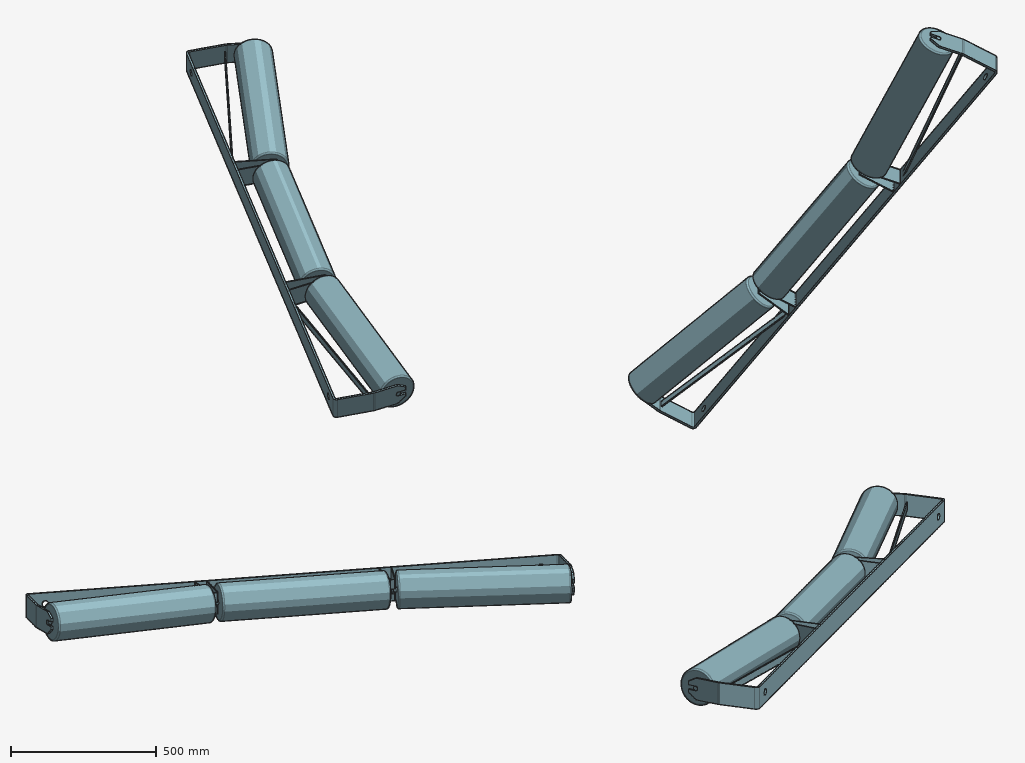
import cadquery as cq
import math

length = 1910.0
strap_height = 80.0
strap_thickness = 8.0
corner_radius = 13.0
wing_bend_y = 145.0
wing_bend_radius = 32.0
wing_tip_y = 264.0
lean_angle = 10.0
hole_diameter = 23.0
hole_inset = 70.0

tip_height = 40.0
tip_rise = 2.9
tip_taper = 30.0

bracket_thickness = 4.0
bracket_height = 76.0
bracket_top_y = 153.0
bracket_x = 305.0
bracket_foot_x = 353.0
bracket_bend_radius = 8.0

strut_height = 27.0
strut_thickness = 4.8
strut_top_y = 141.0
strut_foot_x = 355.0

roller_diameter = 134.0
roller_length = 600.0
roller_edge_radius = 5.0
shaft_diameter = 17.0
shaft_overhang = 11.0
middle_roller_y = 125.0
middle_roller_z = -4.8
side_roller_inner_x = 336.0
side_roller_inner_y = 130.0
side_roller_tilt = 0.6
slot_depth = 95.0
slot_overrun = 8.0

half_length = length / 2
lean = math.tan(math.radians(lean_angle))
shaft_length = roller_length + 2 * shaft_overhang


def mirrored(body):
    return body.mirror("YZ")


def plate(outline, height):
    """Upright sheet with the given XY outline, centred on Z = 0."""
    base = cq.Workplane("XY", origin=(0, 0, -height / 2))
    return base.polyline(outline).close().extrude(height)


def rod(diameter, rod_length):
    """Cylinder along the X axis, centred on the origin."""
    return cq.Workplane("YZ", origin=(-rod_length / 2, 0, 0)).circle(diameter / 2).extrude(rod_length)


def place_middle(body):
    return body.translate((0, middle_roller_y, middle_roller_z))


def place_side(body):
    """Moves a body centred on the X axis to the seat of the right side roller."""
    inner_end = (side_roller_inner_x, side_roller_inner_y, middle_roller_z)
    return (
        body.translate((roller_length / 2, 0, 0))
        .rotate((0, 0, 0), (0, 1, 0), -side_roller_tilt)
        .rotate((0, 0, 0), (0, 0, 1), lean_angle)
        .translate(inner_end)
    )


def make_roller():
    barrel = rod(roller_diameter, roller_length).edges().fillet(roller_edge_radius)
    return barrel.union(rod(shaft_diameter, shaft_length))


def make_shaft_slot():
    """Cutter for the open, round-bottomed slots that hold one shaft."""
    cutter_length = shaft_length + 2 * slot_overrun
    seat = rod(shaft_diameter, cutter_length)
    opening = cq.Workplane("XY").box(cutter_length, slot_depth, shaft_diameter)
    return seat.union(opening.translate((0, slot_depth / 2, 0)))


def rounded(body, x, y, radius):
    """Rounds the two upright edges at (x, y) and (-x, y)."""
    for side in (-1, 1):
        spot = cq.selectors.NearestToPointSelector((side * x, y, 0))
        body = body.edges("|Z").edges(spot).fillet(radius)
    return body


def make_strap():
    tip_x = half_length - (wing_tip_y - wing_bend_y) * lean
    inner_x = half_length - strap_thickness
    tip_inner_x = tip_x - strap_thickness
    right_side = [
        (half_length, 0),
        (half_length, wing_bend_y),
        (tip_x, wing_tip_y),
        (tip_inner_x, wing_tip_y),
        (inner_x, wing_bend_y),
        (inner_x, strap_thickness),
    ]
    left_side = [(-x, y) for x, y in reversed(right_side)]
    strap = plate(right_side + left_side, strap_height)

    strap = rounded(strap, half_length, 0, corner_radius)
    strap = rounded(strap, inner_x, strap_thickness, corner_radius - strap_thickness)
    strap = rounded(strap, half_length, wing_bend_y, wing_bend_radius)
    strap = rounded(strap, inner_x, wing_bend_y, wing_bend_radius - strap_thickness)

    for side in (-1, 1):
        taper = (
            cq.Workplane("YZ")
            .moveTo(wing_tip_y - tip_taper, side * strap_height / 2)
            .lineTo(wing_tip_y, tip_rise + side * tip_height / 2)
            .lineTo(wing_tip_y, side * strap_height / 2)
            .close()
            .extrude(half_length, both=True)
        )
        strap = strap.cut(taper)

    hole_x = half_length - hole_inset
    holes = (
        cq.Workplane("XZ")
        .pushPoints([(-hole_x, 0), (hole_x, 0)])
        .circle(hole_diameter / 2)
        .extrude(-strap_thickness)
    )
    return strap.cut(holes)


def make_bracket():
    """Right inner bracket."""
    def leaning_x(y):
        return bracket_foot_x - y * lean

    inner_top_y = bracket_top_y - bracket_thickness
    outline = [
        (bracket_x, 0),
        (bracket_x, bracket_top_y),
        (leaning_x(bracket_top_y), bracket_top_y),
        (leaning_x(0), 0),
        (leaning_x(0) - bracket_thickness, 0),
        (leaning_x(inner_top_y) - bracket_thickness, inner_top_y),
        (bracket_x + bracket_thickness, inner_top_y),
        (bracket_x + bracket_thickness, 0),
    ]
    bracket = plate(outline, bracket_height)
    return bracket.edges("|Z and >Y").fillet(bracket_bend_radius)


def make_strut():
    """Right diagonal strut, ending on the strap and its end arm."""
    wall_x = half_length - strap_thickness
    outline = [
        (strut_foot_x, 0),
        (wall_x, strut_top_y - strut_thickness),
        (wall_x, strut_top_y),
        (strut_foot_x, strut_thickness),
    ]
    return plate(outline, strut_height)


def make_frame():
    frame = make_strap()
    for part in (make_bracket(), make_strut()):
        frame = frame.union(part).union(mirrored(part))
    side_slot = place_side(make_shaft_slot())
    for slot in (place_middle(make_shaft_slot()), side_slot, mirrored(side_slot)):
        frame = frame.cut(slot)
    return frame


frame = make_frame()
middle_roller = place_middle(make_roller())
right_roller = place_side(make_roller())
side_rollers = [right_roller, mirrored(right_roller)]

result = cq.Compound.makeCompound(
    [frame.val(), middle_roller.val(), *[roller.val() for roller in side_rollers]]
)